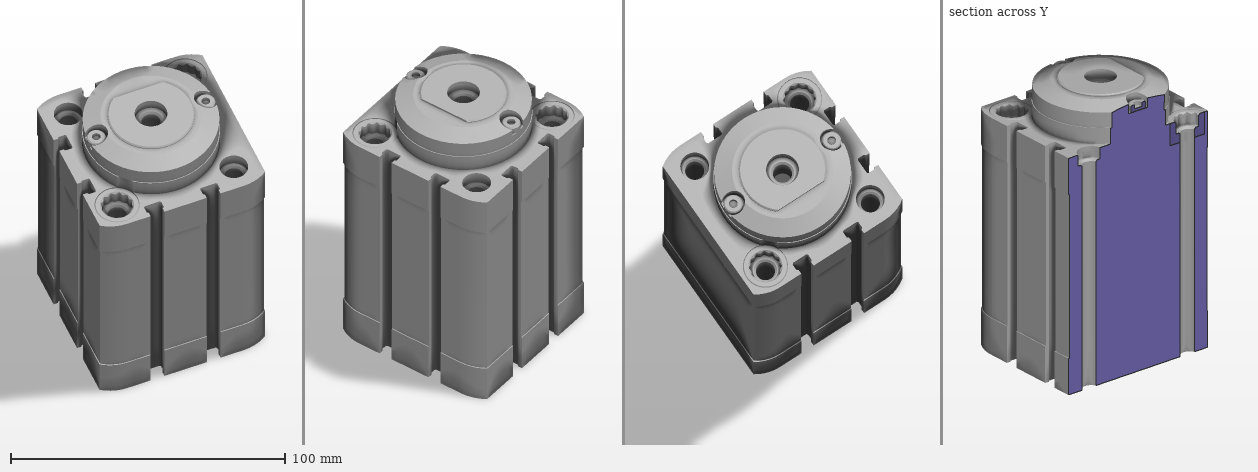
import cadquery as cq
import math

WIDTH = 65.5
TOTAL_HEIGHT = 111.0
CAP_TOP = 95.5
CAP_HEIGHT = 14.8
TUBE_INSET = 0.3
FRONT_HALF_WIDTH = 29.6
CORNER_ARC_START = 23.1

SLOT_OFFSET = 11.1
SLOT_MOUTH = 5.4
SLOT_WIDTH = 6.8
SLOT_DEPTH = 5.1
SLOT_LIP = 1.8
SLOT_CORNER = 0.4

FLANGE_DIAMETER = 50.5
BEARING_DIAMETER = 50.0
FLANGE_TOP = 101.8
BEARING_RIM = 107.9
BEARING_TOP = 110.2
BEARING_TOP_DIAMETER = 36.9
ROD_DIAMETER = 32.0
ROD_CHAMFER = 0.5
ROD_FLAT_X = -12.0
ROD_RECESS_DIAMETER = 12.0
ROD_RECESS_DEPTH = 4.0
ROD_BORE_DEPTH = 16.6
DRILL_POINT_ANGLE = 118.0

HOLE_OFFSET = 23.1
BORE_DIAMETER = 7.0
BORE_CHAMFER_DIAMETER = 8.5
COUNTERBORE_DIAMETER = 10.5
COUNTERBORE_DEPTH = 4.4

COLLAR_DIAMETER = 16.4
COLLAR_HEIGHT = 8.9
COLLAR_CHAMFER = 0.39
SOCKET_ACROSS_FLATS = 10.5
SOCKET_CORNER_DIAMETER = 12.0
SOCKET_COUNTERSINK = 12.4
SOCKET_DEPTH = 5.0

SCREW_OFFSET = 21.6
SCREW_SEAT = 105.2
SCREW_HOLE_DIAMETER = 8.7
SCREW_NOTCH_WIDTH = 6.7
SCREW_HEAD_DIAMETER = 7.0
SCREW_HEAD_HEIGHT = 2.8
SCREW_HEAD_CHAMFER = 0.4
SCREW_SOCKET_DIAMETER = 3.2
SCREW_SOCKET_DEPTH = 1.7

HALF = WIDTH / 2
BORE_CHAMFER = (BORE_CHAMFER_DIAMETER - BORE_DIAMETER) / 2
COLLAR_CORNERS = [(-HOLE_OFFSET, HOLE_OFFSET), (HOLE_OFFSET, -HOLE_OFFSET)]
PLAIN_CORNERS = [(-HOLE_OFFSET, -HOLE_OFFSET), (HOLE_OFFSET, HOLE_OFFSET)]


def cylinder(diameter, bottom, height, center=(0, 0)):
    """Vertical cylinder standing on the height `bottom`."""
    return cq.Workplane("XY", origin=(*center, bottom)).circle(diameter / 2).extrude(height)


def cone(bottom_diameter, top_diameter, bottom, height, center=(0, 0)):
    """Vertical cone frustum; a zero bottom diameter gives a pointed cone."""
    return cq.Workplane(cq.Solid.makeCone(
        bottom_diameter / 2, top_diameter / 2, height, pnt=cq.Vector(*center, bottom)))


def chamfered_bore(bottom, top, center=(0, 0)):
    """Bore from `bottom` to `top` whose upper edge is chamfered."""
    bore = cylinder(BORE_DIAMETER, bottom, top - bottom, center)
    mouth = cone(BORE_DIAMETER, BORE_CHAMFER_DIAMETER, top - BORE_CHAMFER, BORE_CHAMFER, center)
    return bore.union(mouth)


def profile(inset, bottom, height):
    """Length of the housing section: flat faces, with the sides curving in to the corners."""
    side = HALF - inset
    arc_rise = HALF - CORNER_ARC_START
    arc_run = HALF - FRONT_HALF_WIDTH
    radius = (arc_rise ** 2 + arc_run ** 2) / (2 * arc_run)
    half_angle = math.asin(arc_rise / radius) / 2
    front_x = FRONT_HALF_WIDTH - inset
    mid_x = side - radius * (1 - math.cos(half_angle))
    start_y = CORNER_ARC_START - inset
    mid_y = start_y + radius * math.sin(half_angle)
    return (
        cq.Workplane("XY", origin=(0, 0, bottom))
        .moveTo(-front_x, -side)
        .lineTo(front_x, -side)
        .threePointArc((mid_x, -mid_y), (side, -start_y))
        .lineTo(side, start_y)
        .threePointArc((mid_x, mid_y), (front_x, side))
        .lineTo(-front_x, side)
        .threePointArc((-mid_x, mid_y), (-side, start_y))
        .lineTo(-side, -start_y)
        .threePointArc((-mid_x, -mid_y), (-front_x, -side))
        .close()
        .extrude(height)
    )


def t_slot(offset):
    """T-slot cutter for the front face, running the full height at x = offset."""
    lip_y = SLOT_LIP - HALF
    floor_y = SLOT_DEPTH - HALF
    mouth = cq.Workplane("XY").center(offset, (lip_y - HALF) / 2).rect(SLOT_MOUTH, SLOT_LIP)
    pocket = cq.Workplane("XY").center(offset, (lip_y + floor_y) / 2).rect(SLOT_WIDTH, floor_y - lip_y)
    pocket_solid = pocket.extrude(CAP_TOP).edges("|Z").chamfer(SLOT_CORNER)
    return mouth.extrude(CAP_TOP).union(pocket_solid)


def body_block():
    """Two end caps with the slightly smaller tube between them, slotted on three faces."""
    block = profile(TUBE_INSET, 0, CAP_TOP)
    for cap_bottom in (0, CAP_TOP - CAP_HEIGHT):
        block = block.union(profile(0, cap_bottom, CAP_HEIGHT))
    for face_angle in (0, 90, -90):
        for offset in (-SLOT_OFFSET, SLOT_OFFSET):
            block = block.cut(t_slot(offset).rotate((0, 0, 0), (0, 0, 1), face_angle))
    return block


def screw_pocket(center_y):
    """Counterbore for a small screw, open to the rim of the bearing through a notch."""
    depth = TOTAL_HEIGHT - SCREW_SEAT
    hole = cylinder(SCREW_HOLE_DIAMETER, SCREW_SEAT, depth, (0, center_y))
    rim_y = math.copysign(BEARING_DIAMETER / 2, center_y)
    notch = (
        cq.Workplane("XY", origin=(0, rim_y, SCREW_SEAT))
        .rect(SCREW_NOTCH_WIDTH, 2 * (BEARING_DIAMETER / 2 - SCREW_OFFSET))
        .extrude(depth)
    )
    return hole.union(notch)


def rod_end():
    """Chamfered rod end with a flat on the -X side."""
    height = TOTAL_HEIGHT - BEARING_TOP
    rod = cylinder(ROD_DIAMETER, BEARING_TOP, height).faces(">Z").edges().chamfer(ROD_CHAMFER)
    flat_side = (
        cq.Workplane("XY", origin=(ROD_FLAT_X, 0, BEARING_TOP))
        .rect(ROD_DIAMETER, WIDTH)
        .extrude(height)
        .translate((-ROD_DIAMETER / 2, 0, 0))
    )
    return rod.cut(flat_side)


def rod_hole():
    """Recessed, chamfered blind bore with a drill point."""
    recess_floor = TOTAL_HEIGHT - ROD_RECESS_DEPTH
    bore_floor = TOTAL_HEIGHT - ROD_BORE_DEPTH
    point_height = BORE_DIAMETER / 2 / math.tan(math.radians(DRILL_POINT_ANGLE / 2))
    return (
        cylinder(ROD_RECESS_DIAMETER, recess_floor, ROD_RECESS_DEPTH)
        .union(chamfered_bore(bore_floor, recess_floor))
        .union(cone(0, BORE_DIAMETER, bore_floor - point_height, point_height))
    )


def bearing():
    """Round flange and conical bearing with the rod end and its screw pockets."""
    rim_height = BEARING_RIM - FLANGE_TOP
    stack = (
        cylinder(FLANGE_DIAMETER, CAP_TOP, FLANGE_TOP - CAP_TOP)
        .cut(collar_recesses(FLANGE_TOP))
        .union(cylinder(BEARING_DIAMETER, FLANGE_TOP, rim_height))
        .union(cone(BEARING_DIAMETER, BEARING_TOP_DIAMETER, BEARING_RIM, BEARING_TOP - BEARING_RIM))
    )
    for center_y in (-SCREW_OFFSET, SCREW_OFFSET):
        stack = stack.cut(screw_pocket(center_y))
    return stack.union(rod_end()).cut(rod_hole())


def collar_recesses(top):
    """Seats of the collar screws, reaching up to the height `top`."""
    bottom = CAP_TOP - COLLAR_HEIGHT
    recesses = cq.Workplane("XY")
    for corner in COLLAR_CORNERS:
        recesses = recesses.add(cylinder(COLLAR_DIAMETER, bottom, top - bottom, corner))
    return recesses.combine()


def make_housing():
    """Slotted block with its bearing, its corner holes and the collar screw seats."""
    block = body_block().cut(collar_recesses(CAP_TOP))
    for corner in COLLAR_CORNERS:
        block = block.cut(cylinder(BORE_DIAMETER, 0, CAP_TOP, corner))
    for corner in PLAIN_CORNERS:
        counterbore_floor = CAP_TOP - COUNTERBORE_DEPTH
        block = block.cut(cylinder(COUNTERBORE_DIAMETER, counterbore_floor, COUNTERBORE_DEPTH, corner))
        block = block.cut(chamfered_bore(0, counterbore_floor, corner))
    return block.union(bearing())


def socket(center):
    """Twelve-point socket: two crossed hexagons with blunt corners and a countersunk mouth."""
    floor = CAP_TOP - SOCKET_DEPTH
    hexagon_diameter = SOCKET_ACROSS_FLATS / math.cos(math.pi / 6)
    hexagon = cq.Workplane("XY", origin=(0, 0, floor)).polygon(6, hexagon_diameter).extrude(SOCKET_DEPTH)
    star = hexagon.union(hexagon.rotate((0, 0, 0), (0, 0, 1), 30))
    star = star.intersect(cylinder(SOCKET_CORNER_DIAMETER, floor, SOCKET_DEPTH))
    mouth_depth = (SOCKET_COUNTERSINK - SOCKET_ACROSS_FLATS) / 2
    mouth = cone(SOCKET_ACROSS_FLATS, SOCKET_COUNTERSINK, CAP_TOP - mouth_depth, mouth_depth)
    return star.union(mouth).translate((*center, 0))


def make_collar_screw(center):
    """Hollow collar screw, flush with the top of the housing."""
    bottom = CAP_TOP - COLLAR_HEIGHT
    collar = cylinder(COLLAR_DIAMETER, bottom, COLLAR_HEIGHT, center)
    collar = collar.faces(">Z").edges().chamfer(COLLAR_CHAMFER)
    return collar.cut(socket(center)).cut(chamfered_bore(bottom, CAP_TOP - SOCKET_DEPTH, center))


def make_small_screw(center_y):
    """Screw head with a round socket, sitting in its pocket in the bearing."""
    center = (0, center_y)
    head = cylinder(SCREW_HEAD_DIAMETER, SCREW_SEAT, SCREW_HEAD_HEIGHT, center)
    head = head.faces(">Z").edges().chamfer(SCREW_HEAD_CHAMFER)
    socket_floor = SCREW_SEAT + SCREW_HEAD_HEIGHT - SCREW_SOCKET_DEPTH
    return head.cut(cylinder(SCREW_SOCKET_DIAMETER, socket_floor, SCREW_SOCKET_DEPTH, center))


housing = make_housing()
collar_screws = [make_collar_screw(corner) for corner in COLLAR_CORNERS]
small_screws = [make_small_screw(center_y) for center_y in (-SCREW_OFFSET, SCREW_OFFSET)]

result = cq.Compound.makeCompound(
    [housing.val()]
    + [screw.val() for screw in collar_screws]
    + [screw.val() for screw in small_screws]
)